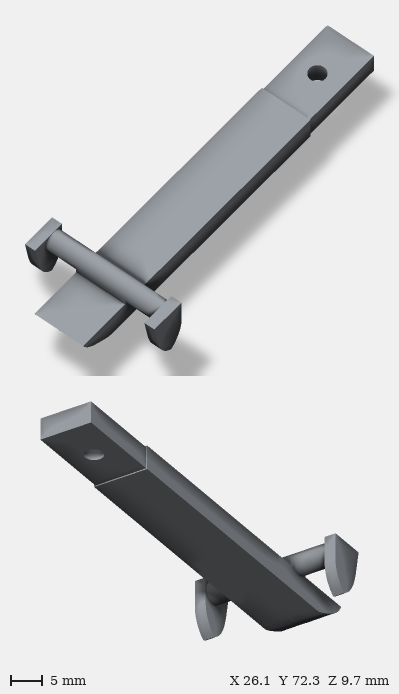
import cadquery as cq

overall_length = 72.3
tip_y = -overall_length / 2
back_y = overall_length / 2

bar_width = 9.8
bar_thickness = 4.35
belly_end_y = -28.6

shank_length = 16.0
shank_inset = 0.2
shank_width = bar_width - 2 * shank_inset
shank_thickness = bar_thickness - 2 * shank_inset
shank_start_y = back_y - shank_length
hole_diameter = 3.2
hole_y = back_y - 8.25

span = 26.1
plate_thickness = 2.0
plate_top_z = 3.25
plate_height = 9.7
plate_bottom_z = plate_top_z - plate_height
plate_back_y = -21.75
plate_front_y = -28.5
plate_tip_y = -24.3
plate_straight_end_z = -1.7
pin_diameter = 3.8
pin_rim = 0.1
pin_z = plate_top_z - pin_rim - pin_diameter / 2
pin_y = -23.85


def make_bar():
    """Side outline with a shallow S curve rising from the underside to the sharp tip."""
    belly_curve = [
        (-30.1, -4.2),
        (-31.15, -3.75),
        (-32.25, -3.25),
        (-33.6, -2.6),
        (-34.9, -1.65),
        (tip_y, 0),
    ]
    return (
        cq.Workplane("YZ")
        .moveTo(tip_y, 0)
        .lineTo(shank_start_y, 0)
        .lineTo(shank_start_y, -bar_thickness)
        .lineTo(belly_end_y, -bar_thickness)
        .spline(belly_curve, includeCurrent=True)
        .close()
        .extrude(bar_width / 2, both=True)
    )


def make_shank():
    """Reduced tail with a vertical through hole."""
    center = (0, back_y - shank_length / 2, -bar_thickness / 2)
    shank = cq.Workplane("XY").box(shank_width, shank_length, shank_thickness).translate(center)
    hole = (
        cq.Workplane("XY", origin=(0, hole_y, -bar_thickness))
        .circle(hole_diameter / 2)
        .extrude(bar_thickness)
    )
    return shank.cut(hole)


def make_end_plate(start_x):
    """Pointed plate: flat top, straight upper back edge, curved edges meeting at a low tip."""
    return (
        cq.Workplane("YZ", origin=(start_x, 0, 0))
        .moveTo(plate_front_y, plate_top_z)
        .lineTo(plate_back_y, plate_top_z)
        .lineTo(plate_back_y, plate_straight_end_z)
        .threePointArc((-22.5, -4.35), (plate_tip_y, plate_bottom_z))
        .spline([(-26.4, -4.55), (-27.6, -1.4), (plate_front_y, plate_top_z)], includeCurrent=True)
        .close()
        .extrude(plate_thickness)
    )


def make_pin():
    """Round pin spanning the gap between the end plates."""
    pin_length = span - 2 * plate_thickness
    return (
        cq.Workplane("YZ", origin=(-pin_length / 2, pin_y, pin_z))
        .circle(pin_diameter / 2)
        .extrude(pin_length)
    )


def make_saddle():
    """Block filling the space between the bar and the middle of the pin."""
    return (
        cq.Workplane("XY")
        .box(bar_width, pin_diameter, pin_z, centered=(True, True, False))
        .translate((0, pin_y, 0))
    )


result = make_bar().union(make_shank()).union(make_saddle()).union(make_pin())
for plate_start_x in (-span / 2, span / 2 - plate_thickness):
    result = result.union(make_end_plate(plate_start_x))